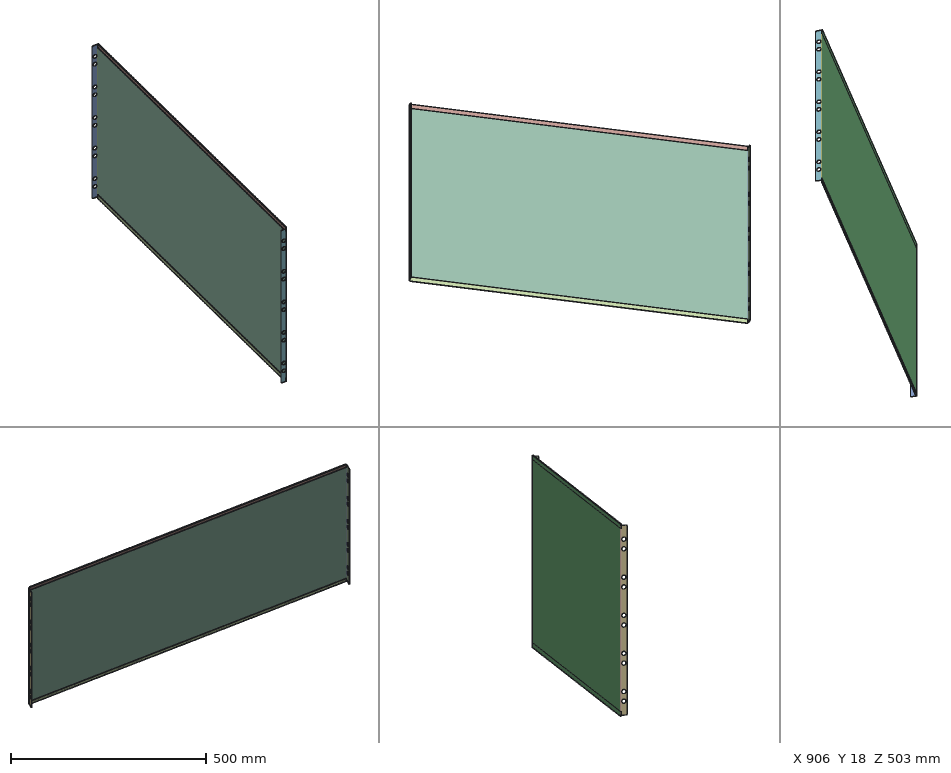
import cadquery as cq

width = 906.0
depth = 18.0
height = 503.0

sheet = 1.6
hem_reach = 12.0
hem_thickness = 2 * sheet
bend_radius = 3.0
flange_end_gap = 3.0
flange_corner_radius = 4.0

hole_diameter = 11.0
hole_setback = 9.0
pair_count = 5
pair_pitch = 100.0
pair_spacing = 25.0

back_y = depth / 2
front_y = -depth / 2
flange_height = height - 2 * flange_end_gap
hem_width = width - 2 * bend_radius


def slab(x_size, y_min, y_max, z_size):
    """Box centred on X and Z, reaching from y_min to y_max."""
    y_center = (y_min + y_max) / 2
    return cq.Workplane("XY").box(x_size, y_max - y_min, z_size).translate((0, y_center, 0))


def bent_panel():
    """Panel with both side edges bent forward into flanges with rounded corners."""
    outer = slab(width, front_y, back_y, flange_height)
    outer = outer.edges("|Z and >Y").fillet(bend_radius)
    inner = slab(width - 2 * sheet, front_y, back_y - sheet, flange_height)
    inner = inner.edges("|Z and >Y").fillet(bend_radius - sheet)
    return outer.cut(inner).edges("|X and <Y").fillet(flange_corner_radius)


def hem(side):
    """Doubled strip folded flat along the top (side 1) or bottom (side -1) edge."""
    strip = slab(hem_width, back_y - hem_thickness, back_y, hem_reach)
    return strip.translate((0, 0, side * (height - hem_reach) / 2))


def flange_holes():
    """Evenly pitched pairs of round cutters passing through both side flanges."""
    hole_y = back_y - hole_setback
    centers = []
    for pair in range(pair_count):
        pair_z = (pair - (pair_count - 1) / 2) * pair_pitch
        for side in (-1, 1):
            centers.append((hole_y, pair_z + side * pair_spacing / 2))
    circles = cq.Workplane("YZ").pushPoints(centers).circle(hole_diameter / 2)
    return circles.extrude(width / 2, both=True)


result = bent_panel()
for side in (-1, 1):
    result = result.union(hem(side))
result = result.cut(flange_holes())